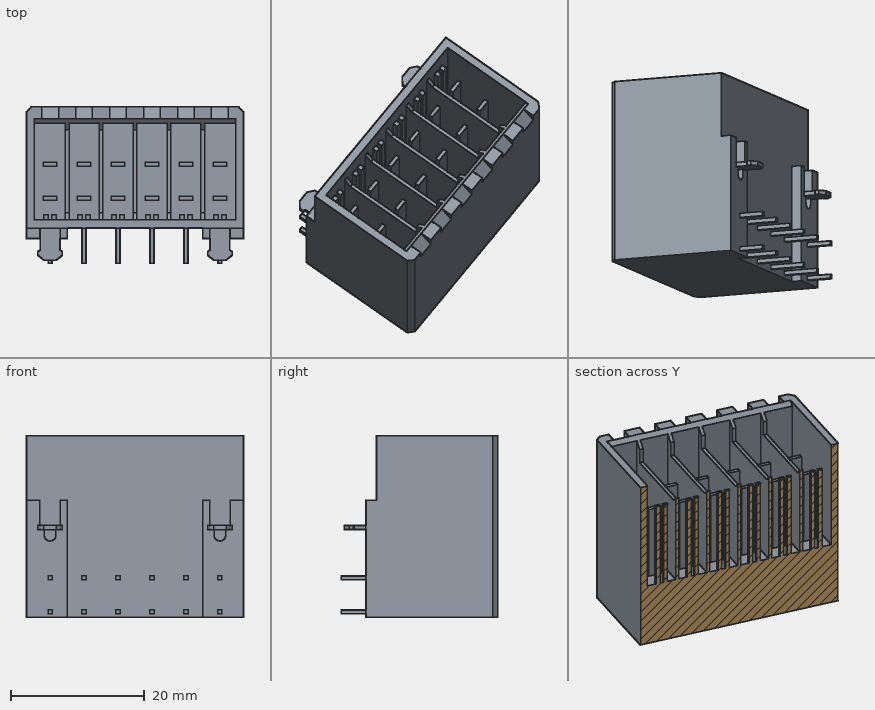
import cadquery as cq


columns = 6
pitch = 5.08
total_depth = 23.47
housing_width = 32.48
housing_depth = 18.18
housing_height = 27.18
back_corner_chamfer = 0.8

side_wall = 1.18
front_wall = 1.25
back_wall = 2.48
floor_height = 10.0
back_lead_in = 0.66
cavity_width = housing_width - 2 * side_wall
cavity_back = housing_depth - back_wall

divider_thickness = 0.58
divider_drop = 3.9
divider_back_run = 0.98
divider_front_run = 1.04
divider_top = housing_height - divider_drop

rib_width = 0.7
rib_depth = 0.78
rib_spacing = 1.21
rib_top = divider_top

notch_width = 2.52
notch_run = back_wall - back_lead_in
notch_drop = 1.48

pin_size = 0.62
blade_width = 1.98
blade_drop = 5.72
first_blade_row = 4.47
blade_rows = [first_blade_row, first_blade_row + pitch]
first_pin_row = 0.82
pin_rows = [first_pin_row, first_pin_row + pitch]
pin_reach = total_depth - housing_depth

pad_width = 6.12
pad_depth = 1.57
pad_height = 17.55
slot_width = 3.1
clip_thickness = 0.64
clip_bottom = 13.12
clip_neck_half = 1.5
clip_head_half = 1.85
clip_tip_half = 0.93
clip_neck_end = 3.28
clip_head_start = 3.5
clip_head_end = 4.05
clip_tip = 4.82
relief_width = 1.74
relief_bottom = 11.42

column_xs = [(i - (columns - 1) / 2) * pitch for i in range(columns)]
divider_xs = [(left + right) / 2 for left, right in zip(column_xs, column_xs[1:])]


def box(x_center, x_size, y_min, y_max, z_min, z_max):
    """Axis-aligned block centred on x_center."""
    block = cq.Workplane("XY").box(x_size, y_max - y_min, z_max - z_min, centered=(True, False, False))
    return block.translate((x_center, y_min, z_min))


def side_profile(x_center, thickness, points):
    """Plate of a given thickness from a (Y, Z) outline."""
    plate = cq.Workplane("YZ").polyline(points).close().extrude(thickness / 2, both=True)
    return plate.translate((x_center, 0, 0))


def housing():
    body = box(0, housing_width, 0, housing_depth, 0, housing_height)
    body = body.edges("|Z and >Y").chamfer(back_corner_chamfer)
    outline = [
        (front_wall, floor_height),
        (front_wall, housing_height),
        (cavity_back + back_lead_in, housing_height),
        (cavity_back, housing_height - back_lead_in),
        (cavity_back, floor_height),
    ]
    return body.cut(side_profile(0, cavity_width, outline))


def divider(x):
    """Low wall that rises along 45 degree slopes to the front and back walls."""
    back_edge = cavity_back - divider_back_run
    back_top = housing_height - back_lead_in
    outline = [
        (0, 0),
        (0, divider_top + divider_front_run),
        (front_wall, divider_top + divider_front_run),
        (front_wall + divider_front_run, divider_top),
        (back_edge, divider_top),
        (back_edge, back_top - divider_back_run),
        (cavity_back, back_top),
        (cavity_back, 0),
    ]
    return side_profile(x, divider_thickness, outline)


def rim_notch(x):
    """Wedge cut whose floor falls from the cavity's rim to the back face."""
    outline = [
        (housing_depth - notch_run, housing_height),
        (housing_depth, housing_height),
        (housing_depth, housing_height - notch_drop),
    ]
    return side_profile(x, notch_width, outline)


def coding_ribs(x):
    rib_back = front_wall + rib_depth
    left = box(x - rib_spacing / 2, rib_width, 0, rib_back, 0, rib_top)
    right = box(x + rib_spacing / 2, rib_width, 0, rib_back, 0, rib_top)
    return left.union(right)


def contacts(x):
    """Two blades standing in the cavity and two pins leaving the front face."""
    blade_tip = housing_height - blade_drop
    half = pin_size / 2
    metal = cq.Workplane("XY")
    for y in blade_rows:
        metal = metal.add(box(x, blade_width, y - half, y + half, 0, blade_tip))
    for z in pin_rows:
        metal = metal.add(box(x, pin_size, -pin_reach, front_wall, z - half, z + half))
    return metal.combine()


def mounting_pad(side):
    """Pad on the front face, slotted from the top, with a round-bottomed relief below the slot."""
    pad_x = side * (housing_width - pad_width) / 2
    clip_x = side * column_xs[-1]
    relief_radius = relief_width / 2
    relief_center = relief_bottom + relief_radius
    pad = box(pad_x, pad_width, -pad_depth, 0, 0, pad_height)
    slot = box(clip_x, slot_width, -pad_depth, 0, clip_bottom, pad_height)
    relief = box(clip_x, relief_width, -pad_depth, 0, relief_center, clip_bottom)
    relief_end = cq.Workplane("XZ").center(clip_x, relief_center).circle(relief_radius).extrude(pad_depth)
    return pad.cut(slot).cut(relief).cut(relief_end)


def solder_clip(side):
    """Flat arrow-headed plate lying on the floor of the pad's slot."""
    half_outline = [
        (clip_neck_half, front_wall),
        (clip_neck_half, -clip_neck_end),
        (clip_head_half, -clip_head_start),
        (clip_head_half, -clip_head_end),
        (clip_tip_half, -clip_tip),
    ]
    mirrored = [(-x, y) for x, y in reversed(half_outline)]
    plate = cq.Workplane("XY").polyline(half_outline + mirrored).close().extrude(clip_thickness)
    return plate.translate((side * column_xs[-1], 0, clip_bottom))


result = housing()
for divider_x in divider_xs:
    result = result.union(divider(divider_x))
for column_x in column_xs:
    result = result.cut(rim_notch(column_x))
    result = result.union(coding_ribs(column_x))
for pad_side in (-1, 1):
    result = result.union(mounting_pad(pad_side))
    result = result.union(solder_clip(pad_side))
for column_x in column_xs:
    result = result.union(contacts(column_x))